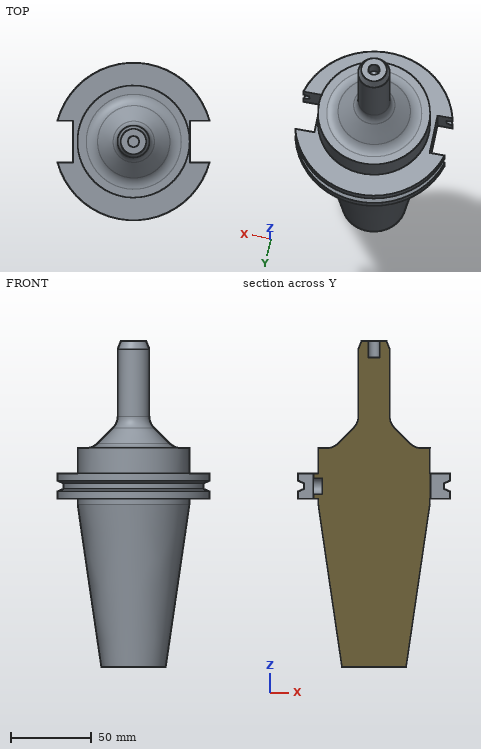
import cadquery as cq
import math

total_height = 203.2
gauge_height = 101.5
flange_bottom = 104.9
flange_top = 120.7
flange_middle = (flange_bottom + flange_top) / 2
hub_top = 136.5

hub_radius = 35.0
taper_ratio = 7 / 24
taper_end_radius = hub_radius - gauge_height * taper_ratio / 2

flange_radius = 49.2
groove_radius = 45.5
groove_mouth_width = 6.7
groove_floor_width = 3.3

pin_radius = 10.0
tip_radius = 8.0
tip_height = 5.0
blend_radius = 10.0
cone_top_height = 149.1

slot_width = 25.8
left_slot_floor = 37.8
right_slot_floor = 35.4

tip_hole_diameter = 7.0
tip_hole_depth = 10.2
side_hole_diameter = 9.8
side_hole_depth = 5.5


def make_body():
    """Revolve the half profile of the tapered shank, flange, hub and pin."""
    blend_long = blend_radius * math.sin(math.radians(45))
    blend_short = blend_radius - blend_long
    middle_long = blend_radius * math.sin(math.radians(22.5))
    middle_short = blend_radius * (1 - math.cos(math.radians(22.5)))

    pin_base = cone_top_height + blend_long
    cone_top_radius = pin_radius + blend_short
    cone_bottom_height = hub_top + blend_short
    cone_bottom_radius = cone_top_radius + cone_top_height - cone_bottom_height
    flare_radius = cone_bottom_radius + blend_long

    half_mouth = groove_mouth_width / 2
    half_floor = groove_floor_width / 2

    profile = (
        cq.Workplane("XZ")
        .lineTo(taper_end_radius, 0)
        .lineTo(hub_radius, gauge_height)
        .lineTo(hub_radius, flange_bottom)
        .lineTo(flange_radius, flange_bottom)
        .lineTo(flange_radius, flange_middle - half_mouth)
        .lineTo(groove_radius, flange_middle - half_floor)
        .lineTo(groove_radius, flange_middle + half_floor)
        .lineTo(flange_radius, flange_middle + half_mouth)
        .lineTo(flange_radius, flange_top)
        .lineTo(hub_radius, flange_top)
        .lineTo(hub_radius, hub_top)
        .lineTo(flare_radius, hub_top)
        .threePointArc(
            (flare_radius - middle_long, hub_top + middle_short),
            (cone_bottom_radius, cone_bottom_height),
        )
        .lineTo(cone_top_radius, cone_top_height)
        .threePointArc(
            (pin_radius + middle_short, pin_base - middle_long),
            (pin_radius, pin_base),
        )
        .lineTo(pin_radius, total_height - tip_height)
        .lineTo(tip_radius, total_height)
        .lineTo(0, total_height)
        .close()
    )
    return profile.revolve(360, (0, 0, 0), (0, 1, 0))


def make_drive_slot(side, floor):
    """Block outside a flat floor; side is -1 for -X and +1 for +X."""
    length = flange_radius
    return cq.Workplane("XY").box(length, slot_width, flange_top - flange_bottom).translate(
        (side * (floor + length / 2), 0, flange_middle)
    )


def make_tip_hole():
    return (
        cq.Workplane("XY", origin=(0, 0, total_height))
        .circle(tip_hole_diameter / 2)
        .extrude(-tip_hole_depth)
    )


def make_side_hole():
    """Radial hole into the floor of the -X slot."""
    return (
        cq.Workplane("YZ", origin=(-left_slot_floor, 0, flange_middle))
        .circle(side_hole_diameter / 2)
        .extrude(side_hole_depth)
    )


result = (
    make_body()
    .cut(make_drive_slot(-1, left_slot_floor))
    .cut(make_drive_slot(1, right_slot_floor))
    .cut(make_tip_hole())
    .cut(make_side_hole())
)